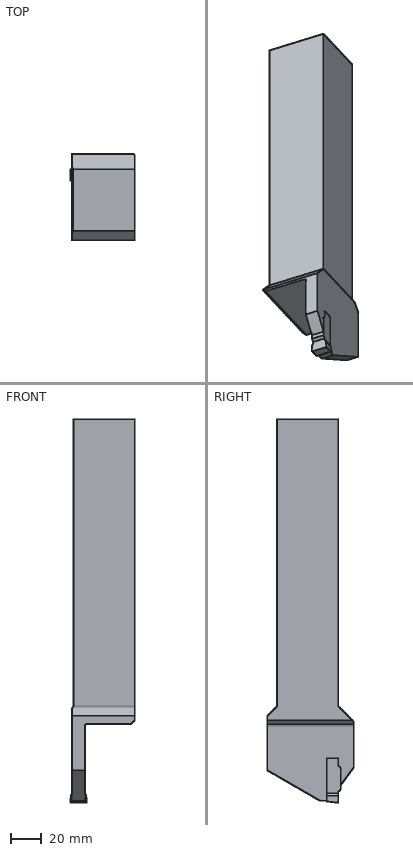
import cadquery as cq
import math


total_length = 250.0
insert_width = 10.8
shank_size = 40.0
overall_x = 42.04

shank_left = overall_x - shank_size
blade_thickness = 8.6
blade_left = (insert_width - blade_thickness) / 2
blade_right = blade_left + blade_thickness

shank_bottom = 63.0
step_height = 1.5
shoulder_bottom = 51.3
shoulder_corner_chamfer = 2.5
front_root_radius = 1.0
blade_root_radius = 1.0
head_back = shank_size / 2 + 10.0
head_front = -shank_size / 2 - 6.35
back_slope_top = 23.0
back_slope_angle = 36.5
front_slope_top = 21.2
front_slope_angle = 30.0
blade_tip = 1.3

rake_y = shank_size / 2
insert_height = 7.5
insert_seat_y = rake_y - insert_height
insert_length = 29.0
crown_height = 1.6
crown_bottom = 8.0
crown_top = 23.5
end_relief_angle = 7.0
neck_top = 6.2
neck_bottom = 4.7
side_relief = 0.3
nose_radius = 0.8
crown_y = rake_y + crown_height


def make_side_profile():
    """Outline of the head in the YZ plane."""
    front_chamfer = -shank_size / 2 - head_front
    back_chamfer = head_back - shank_size / 2
    front_tip_y = head_front + (front_slope_top - blade_tip) / math.tan(math.radians(front_slope_angle))
    back_slope_run = head_back - crown_y
    back_slope_end = back_slope_top - back_slope_run / math.tan(math.radians(back_slope_angle))
    return (
        cq.Workplane("YZ")
        .polyline([
            (-shank_size / 2, shank_bottom),
            (head_front, shank_bottom - front_chamfer),
            (head_front, front_slope_top),
            (front_tip_y, blade_tip),
            (insert_seat_y, blade_tip),
            (crown_y, back_slope_end),
            (head_back, back_slope_top),
            (head_back, shank_bottom - back_chamfer),
            (shank_size / 2, shank_bottom),
        ])
        .close()
        .extrude(overall_x)
    )


def make_head():
    """L-shaped section along Y, trimmed to the side outline."""
    section = (
        cq.Workplane("XZ", origin=(0, head_back, 0))
        .moveTo(shank_left, shank_bottom)
        .lineTo(overall_x, shank_bottom)
        .lineTo(overall_x, shoulder_bottom + shoulder_corner_chamfer)
        .lineTo(overall_x - shoulder_corner_chamfer, shoulder_bottom)
        .lineTo(blade_right + blade_root_radius, shoulder_bottom)
        .radiusArc((blade_right, shoulder_bottom - blade_root_radius), -blade_root_radius)
        .lineTo(blade_right, 0)
        .lineTo(blade_left, 0)
        .lineTo(blade_left, shank_bottom - step_height)
        .close()
        .extrude(head_back - head_front)
    )
    return section.intersect(make_side_profile())


def make_insert_profile():
    """Outline of the insert in the YZ plane, with the raised crown on the rake side."""
    end_rise = insert_height * math.tan(math.radians(end_relief_angle))
    return (
        cq.Workplane("YZ")
        .polyline([
            (rake_y, 0),
            (rake_y, crown_bottom - crown_height / 2),
            (crown_y, crown_bottom + crown_height / 2),
            (crown_y, crown_top - crown_height / 2),
            (rake_y, crown_top + crown_height / 2),
            (rake_y, insert_length),
            (insert_seat_y, insert_length),
            (insert_seat_y, end_rise),
        ])
        .close()
        .extrude(insert_width)
    )


def make_insert():
    """Shank of the insert flush with the blade, flaring to the wider cutting end."""
    section = (
        cq.Workplane("XZ", origin=(0, crown_y, 0))
        .moveTo(blade_left, insert_length)
        .lineTo(blade_right, insert_length)
        .lineTo(blade_right, neck_top)
        .lineTo(insert_width - side_relief, neck_bottom)
        .lineTo(insert_width, nose_radius)
        .radiusArc((insert_width - nose_radius, 0), nose_radius)
        .lineTo(nose_radius, 0)
        .radiusArc((0, nose_radius), nose_radius)
        .lineTo(side_relief, neck_bottom)
        .lineTo(blade_left, neck_top)
        .close()
        .extrude(crown_y - insert_seat_y)
    )
    return section.intersect(make_insert_profile()).solids()


def make_insert_slot():
    """Insert outline carried through the blade and open at the cutting end."""
    end_opening = (
        cq.Workplane("XY")
        .box(insert_width, crown_y - insert_seat_y, crown_bottom, centered=False)
        .translate((0, insert_seat_y, 0))
    )
    return make_insert_profile().union(end_opening)


def make_holder():
    shank = (
        cq.Workplane("XY", origin=(shank_left, -shank_size / 2, shank_bottom))
        .box(shank_size, shank_size, total_length - shank_bottom, centered=False)
    )
    body = shank.union(make_head())
    front_root = cq.selectors.NearestToPointSelector(
        ((shank_left + overall_x) / 2, -shank_size / 2, shank_bottom)
    )
    body = body.edges(front_root).fillet(front_root_radius)
    return body.cut(make_insert_slot()).solids()


holder = make_holder()
insert = make_insert()

result = cq.Compound.makeCompound([holder.val(), insert.val()])